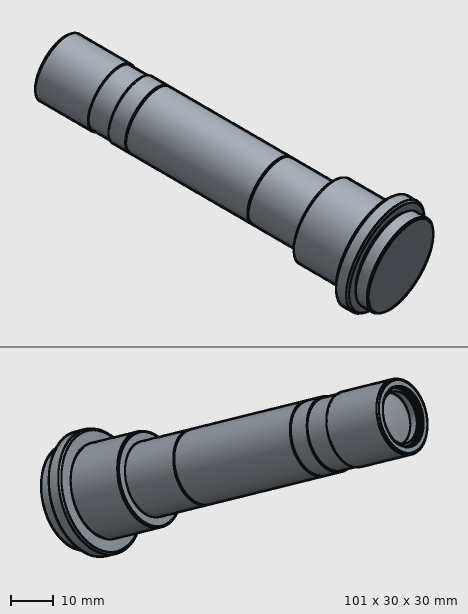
import cadquery as cq

length = 101.0
barrel_radius = 9.1
barrel_chamfer = 0.4

relief_start = 15.9
relief_end = 21.9
relief_radius = 8.8

joint_positions = (27.0, 62.9)
joint_depth = 0.15

collar_start = 78.0
collar_radius = 11.5
collar_chamfer = 0.3
flange_start = 92.9
flange_end = 96.9
flange_radius = 15.0
flange_chamfer = 0.5
disc_radius = 12.7
disc_back_chamfer = 0.6
disc_end_chamfer = 0.3

mouth_radius = 7.3
mouth_depth = 0.6
shelf_radius = 7.0
shelf_depth = 1.2
bore_radius = 6.3
bore_depth = 3.2
lens_radius = 6.0
lens_sag = 0.5


def cylinder(start, end, radius):
    """Solid disc on the X axis, positioned from the open end."""
    return cq.Workplane("YZ", origin=(start - length / 2, 0, 0)).circle(radius).extrude(end - start)


def joint_groove(position):
    """Ring with a symmetrical V section that opens at the barrel surface."""
    centre = position - length / 2
    return (
        cq.Workplane("XY")
        .moveTo(centre - joint_depth, barrel_radius)
        .lineTo(centre, barrel_radius - joint_depth)
        .lineTo(centre + joint_depth, barrel_radius)
        .close()
        .revolve(360, (0, 0, 0), (1, 0, 0))
    )


def lens_recess():
    """Bore whose floor is a narrow flat rim around a lens bulging towards the mouth."""
    mouth = -length / 2
    floor_edge = mouth + bore_depth
    half_chord_height = lens_radius / 2
    arc_radius = (lens_radius**2 + lens_sag**2) / (2 * lens_sag)
    drop = arc_radius - (arc_radius**2 - half_chord_height**2) ** 0.5
    return (
        cq.Workplane("XY")
        .moveTo(mouth, 0)
        .lineTo(mouth, bore_radius)
        .lineTo(floor_edge, bore_radius)
        .lineTo(floor_edge, lens_radius)
        .threePointArc((floor_edge - lens_sag + drop, half_chord_height), (floor_edge - lens_sag, 0))
        .close()
        .revolve(360, (0, 0, 0), (1, 0, 0))
    )


barrel = cylinder(0, collar_start, barrel_radius).faces("<X").chamfer(barrel_chamfer)
relief = cylinder(relief_start, relief_end, barrel_radius).cut(
    cylinder(relief_start, relief_end, relief_radius)
)
barrel = barrel.cut(relief)
for joint_position in joint_positions:
    barrel = barrel.cut(joint_groove(joint_position))

collar = cylinder(collar_start, flange_start, collar_radius).faces("<X or >X").chamfer(collar_chamfer)
flange = cylinder(flange_start, flange_end, flange_radius).faces("<X or >X").chamfer(flange_chamfer)
disc = cylinder(flange_end, length, disc_radius).faces("<X").chamfer(disc_back_chamfer)
disc = disc.faces(">X").chamfer(disc_end_chamfer)

result = barrel.union(collar).union(flange).union(disc)
result = result.cut(cylinder(0, mouth_depth, mouth_radius))
result = result.cut(cylinder(0, shelf_depth, shelf_radius))
result = result.cut(lens_recess())